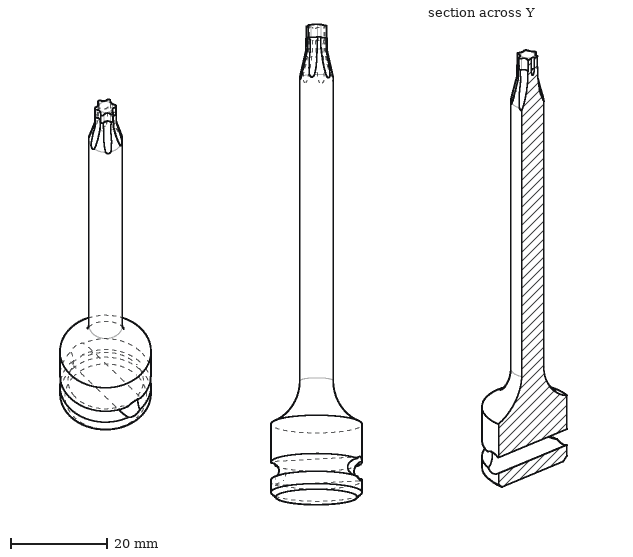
import cadquery as cq
import math

total_length = 100.0
body_radius = 9.5
shank_radius = 3.5

body_height = 15.5
base_chamfer = 1.0
ring_groove_height = 5.5
ring_groove_radius = 1.9
ring_groove_depth = 1.65
pin_hole_height = 5.55
pin_hole_diameter = 5.0

flare_radius = 10.0
flare_centre_radius = shank_radius + flare_radius
flare_height = math.sqrt(flare_radius**2 - (flare_centre_radius - body_radius) ** 2)
flare_top = body_height + flare_height

lobe_count = 6
lobe_pitch = 360.0 / lobe_count
lobe_radius = 2.25
lobe_root_radius = 1.6
lobe_tip_rounding = 0.38
tip_face_radius = 1.45
tip_chamfer_height = 0.2
flute_top = total_length - 2.8
cone_top = total_length - 5.4
cone_bottom = total_length - 11.0

flute_radius = 0.95
flute_end = total_length - 11.6
flute_length = flute_top - flute_end
flute_rise = shank_radius - lobe_root_radius
flute_wheel_radius = (flute_length**2 + flute_rise**2) / (2 * flute_rise)


def make_turned_body():
    """Revolve the profile of the base, flare, shank and tip."""
    mid_angle = math.acos((flare_centre_radius - body_radius) / flare_radius) / 2
    flare_mid = (
        flare_centre_radius - flare_radius * math.cos(mid_angle),
        flare_top - flare_radius * math.sin(mid_angle),
    )
    profile = (
        cq.Workplane("XZ")
        .moveTo(0, 0)
        .lineTo(body_radius - base_chamfer, 0)
        .lineTo(body_radius, base_chamfer)
        .lineTo(body_radius, body_height)
        .threePointArc(flare_mid, (shank_radius, flare_top))
        .lineTo(shank_radius, cone_bottom)
        .lineTo(lobe_radius, cone_top)
        .lineTo(lobe_radius, total_length - tip_chamfer_height)
        .lineTo(tip_face_radius, total_length)
        .lineTo(0, total_length)
        .close()
    )
    return profile.revolve(360, (0, 0, 0), (0, 1, 0))


def make_ring_groove():
    """Round-bottomed retaining ring groove around the base."""
    centre_line_radius = body_radius - ring_groove_depth + ring_groove_radius
    centre = cq.Vector(0, 0, ring_groove_height)
    return cq.Workplane("XY").add(cq.Solid.makeTorus(centre_line_radius, ring_groove_radius, centre))


def make_pin_hole():
    """Retaining pin hole straight through the base along X."""
    return (
        cq.Workplane("YZ")
        .center(0, pin_hole_height)
        .circle(pin_hole_diameter / 2)
        .extrude(body_radius, both=True)
    )


def polar(radius, degrees):
    """Point at a given radius and angle from +X."""
    angle = math.radians(degrees)
    return (radius * math.cos(angle), radius * math.sin(angle))


def make_lobe_prism():
    """Six rounded lobes joined by tangent concave arcs, one lobe on +X."""
    half_pitch = lobe_pitch / 2
    tip_centre_radius = lobe_radius - lobe_tip_rounding
    half_angle_cos = math.cos(math.radians(half_pitch))
    reach = lobe_tip_rounding - lobe_root_radius
    valley_radius = (
        tip_centre_radius**2
        + lobe_root_radius**2
        - 2 * tip_centre_radius * lobe_root_radius * half_angle_cos
        - lobe_tip_rounding**2
    ) / (2 * (reach + tip_centre_radius * half_angle_cos))
    valley_centre_radius = lobe_root_radius + valley_radius
    tip_share = lobe_tip_rounding / (lobe_tip_rounding + valley_radius)

    def tangent_point(lobe_angle, valley_angle):
        tip_x, tip_y = polar(tip_centre_radius, lobe_angle)
        valley_x, valley_y = polar(valley_centre_radius, valley_angle)
        return (
            tip_x + (valley_x - tip_x) * tip_share,
            tip_y + (valley_y - tip_y) * tip_share,
        )

    outline = cq.Workplane("XY").workplane(offset=flute_top)
    outline = outline.moveTo(*tangent_point(0, -half_pitch))
    for index in range(lobe_count):
        lobe_angle = index * lobe_pitch
        valley_angle = lobe_angle + half_pitch
        next_lobe_angle = lobe_angle + lobe_pitch
        outline = outline.threePointArc(
            polar(lobe_radius, lobe_angle), tangent_point(lobe_angle, valley_angle)
        )
        outline = outline.threePointArc(
            polar(lobe_root_radius, valley_angle), tangent_point(next_lobe_angle, valley_angle)
        )
    return outline.close().extrude(total_length - flute_top)


def make_lobe_trim():
    """Stock to remove around the lobes, above the tops of the flutes."""
    blank = (
        cq.Workplane("XY")
        .workplane(offset=flute_top)
        .circle(shank_radius)
        .extrude(total_length - flute_top)
    )
    return blank.cut(make_lobe_prism())


def make_flute_cutter():
    """Round-rimmed wheel standing off the -X side of the tip, kept below the lobes."""
    rim_start = flute_wheel_radius - flute_radius
    wheel = (
        cq.Workplane("XY")
        .moveTo(0, -flute_radius)
        .lineTo(rim_start, -flute_radius)
        .threePointArc((flute_wheel_radius, 0), (rim_start, flute_radius))
        .lineTo(0, flute_radius)
        .close()
        .revolve(360, (0, 0, 0), (0, 1, 0))
        .translate((-lobe_root_radius - flute_wheel_radius, 0, flute_top))
    )
    wheel_diameter = 2 * flute_wheel_radius
    above_flute_top = (
        cq.Workplane("XY")
        .workplane(offset=flute_top)
        .center(-flute_wheel_radius, 0)
        .rect(2 * wheel_diameter, wheel_diameter)
        .extrude(wheel_diameter)
    )
    return wheel.cut(above_flute_top)


result = make_turned_body().cut(make_ring_groove()).cut(make_pin_hole()).cut(make_lobe_trim())
flute_cutter = make_flute_cutter()
for index in range(lobe_count):
    flute_angle = (index + 0.5) * lobe_pitch
    result = result.cut(flute_cutter.rotate((0, 0, 0), (0, 0, 1), flute_angle))